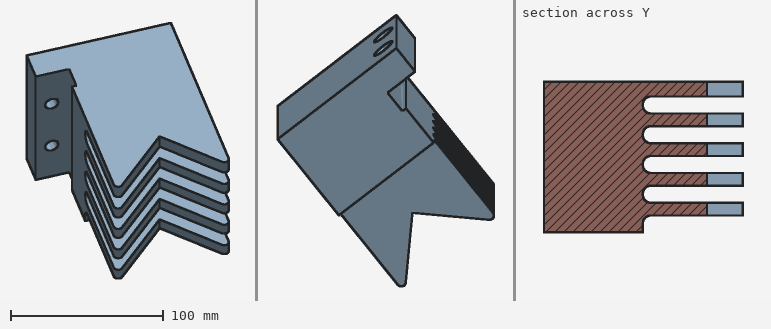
import cadquery as cq
import math

length = 131.0
width = 99.0
height = 98.75

flange_thickness = 20.0
flange_reach = 20.0
body_front = flange_reach

groove_width = 15.75
groove_depth = 3.0
groove_corner_radius = 1.0

notch_y = 61.55
notch_angle = 90.0
notch_tilt = 1.5
tip_radius = 3.0

slot_count = 5
slot_height = 11.0
slot_pitch = 19.5
slot_corner_radius = 5.0
slot_start_x = 65.0

hole_diameter = 9.0
counterbore_diameter = 15.0
counterbore_depth = 11.0
hole_spacing = 40.0
hole_y = 11.0


def round_upright_edge(block, corner, radius):
    """Round the vertical edge that stands at the plan position `corner`."""
    x, y = corner
    edge = cq.selectors.NearestToPointSelector((x, y, height / 2))
    return block.edges(edge).fillet(radius)


def make_profile_block():
    """Extrude the plan outline: flange, relief groove, body and V notch."""
    groove_end = flange_thickness + groove_width
    groove_floor = body_front + groove_depth
    back_angle = math.radians(notch_angle / 2 - notch_tilt)
    front_angle = math.radians(notch_angle / 2 + notch_tilt)
    front_tip_x = length - tip_radius + tip_radius / math.tan(front_angle / 2)
    notch_x = front_tip_x - (notch_y - body_front) / math.tan(front_angle)
    front_tip = (front_tip_x, body_front)
    back_tip = (notch_x + (width - notch_y) / math.tan(back_angle), width)

    block = (
        cq.Workplane("XY")
        .moveTo(0, 0)
        .lineTo(flange_thickness, 0)
        .lineTo(flange_thickness, groove_floor)
        .lineTo(groove_end, groove_floor)
        .lineTo(groove_end, body_front)
        .lineTo(*front_tip)
        .lineTo(notch_x, notch_y)
        .lineTo(*back_tip)
        .lineTo(0, width)
        .close()
        .extrude(height)
    )
    for tip in (back_tip, front_tip):
        block = round_upright_edge(block, tip, tip_radius)
    for corner_x in (flange_thickness, groove_end):
        block = round_upright_edge(block, (corner_x, groove_floor), groove_corner_radius)
    return block


def make_slot(bottom_z):
    """Slot through the full width, with a rounded closed end and open towards +X."""
    slot = cq.Workplane("XY", origin=(slot_start_x, 0, bottom_z))
    slot = slot.box(length, width, slot_height, centered=False)
    return slot.edges("|Y and <X").fillet(slot_corner_radius)


def cut_slots(part):
    """Cut all slots; the lowest one lies on the bottom and has no finger under it."""
    for index in range(slot_count):
        part = part.cut(make_slot(index * slot_pitch))
    opening = cq.Workplane("XY", origin=(slot_start_x, 0, 0))
    return part.cut(opening.box(length, width, slot_corner_radius, centered=False))


def cut_screw_holes(part):
    """Drill the flange along X, with the counterbores on its -X face."""
    for offset in (-hole_spacing / 2, hole_spacing / 2):
        face = cq.Workplane("YZ", origin=(0, hole_y, height / 2 + offset))
        part = part.cut(face.circle(hole_diameter / 2).extrude(flange_thickness))
        part = part.cut(face.circle(counterbore_diameter / 2).extrude(counterbore_depth))
    return part


result = cut_screw_holes(cut_slots(make_profile_block()))